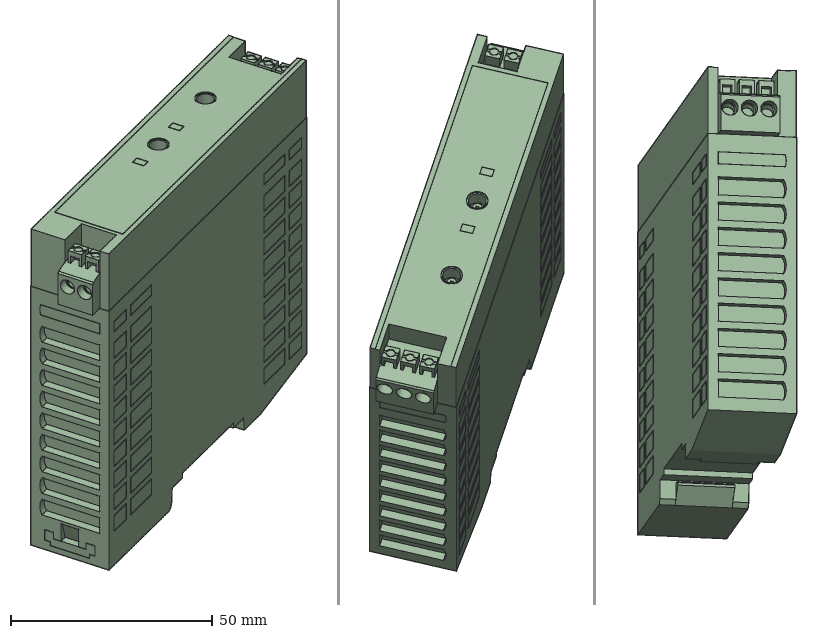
import cadquery as cq
import math

overall_length = 106.0
case_width = 22.5
case_length = 99.0
case_height = 95.0
half_width = case_width / 2
half_length = case_length / 2
seam_z = 77.8
cap_step = 0.1
shallow = 0.1

rail_half_opening = 17.8
rail_undercut = 0.3
rail_center_half = 12.7
rail_step_z = 6.0
rail_roof_z = 7.5
rear_foot_z = 2.2
rear_foot_start_y = 26.4
rear_corner_z = 6.8
front_foot_y = -19.2
front_wall_foot_z = 1.3
hook_root_y = 19.2
hook_top_z = 5.3
front_hook_nose_y = 15.4
front_hook_nose_z = (4.2, 4.9)
front_hook_crest_y = 16.1
rear_hook_base_y = 16.1
rear_hook_tip = (15.3, 4.5)
hook_half_width = 7.2

vent_half_width = 8.6
vent_end_radius = 4.2
vent_depth = 2.2
vent_height = 4.7
vent_count = 9
lowest_vent_z = 12.5
highest_vent_z = 64.5
vent_pitch = (highest_vent_z - lowest_vent_z) / (vent_count - 1)
top_vent_z = 71.7
top_vent_height = 3.1
side_vent_columns = ((28.1, 38.5), (40.7, 46.9))

front_terminals = 2
rear_terminals = 3
rear_terminal_span = 9.9
terminal_pitch = rear_terminal_span / (rear_terminals - 1)
slot_right_x = 8.6
slot_width_per_terminal = 5.0
terminal_edge = 2.3
slot_inner_y = 41.1
block_top_z = 88.4
block_front_z = 87.5
block_chamfer = 0.4
clamp_width = 3.8
clamp_back_y = 45.7
clamp_front_y = 49.3
clamp_top_z = 92.0
clamp_mouth_width = 2.4
clamp_mouth_top_z = 90.5
clamp_mouth_depth = 2.1
screw_radius = 1.1
screw_slot_width = 0.7
screw_depth = 0.3
wire_hole_z = 83.8
wire_hole_radius = 2.0
wire_hole_depth = 2.6
wire_seat_radius = 1.6
wire_seat_depth = 1.0
wire_seat_tilt = 25.0

panel_half_width = 9.8
panel_front_y = -40.0
control_x = -2.4
knob_ys = (22.6, -1.0)
window_ys = (8.0, -10.0)
window_width = 3.2
window_length = 2.1
knob_radius = 2.2
knob_mouth_radius = 2.6
knob_mouth_depth = 0.3
knob_depth = 4.2
trimmer_radius = 1.3
trimmer_height = 1.1
trimmer_socket = 0.7

latch_bottom_z = 1.7
latch_ear_z = 2.9
latch_top_z = 5.9
latch_bar_half_width = 5.6
latch_notch_half_width = 4.7
latch_pocket_half_width = 2.5
latch_pocket_bottom_z = 4.0
latch_pocket_top_z = 9.3
latch_pocket_top_depth = 0.5
latch_pocket_bottom_depth = 2.1


def box(x0, x1, y0, y1, z0, z1):
    return cq.Workplane("XY").box(x1 - x0, y1 - y0, z1 - z0, centered=False).translate((x0, y0, z0))


def side_prism(points, x0, x1):
    """Prism along X from an outline of (y, z) points."""
    return cq.Workplane("YZ").workplane(offset=x0).polyline(points).close().extrude(x1 - x0)


def mirrored_y(solid):
    return solid.mirror("XZ")


def make_case():
    lower = side_prism(
        [
            (-half_length, seam_z),
            (-half_length, 0),
            (front_foot_y, 0),
            (-rail_half_opening - rail_undercut, front_wall_foot_z),
            (-rail_half_opening, rail_step_z),
            (-rail_center_half, rail_step_z),
            (-rail_center_half, rail_roof_z),
            (rail_center_half, rail_roof_z),
            (rail_center_half, rail_step_z),
            (rail_half_opening, rail_step_z),
            (rail_half_opening + rail_undercut, rear_foot_z),
            (rear_foot_start_y, rear_foot_z),
            (half_length, rear_corner_z),
            (half_length, seam_z),
        ],
        -half_width,
        half_width,
    )
    cap_x = half_width - cap_step
    cap_y = half_length - cap_step
    return lower.union(box(-cap_x, cap_x, -cap_y, cap_y, seam_z, case_height))


def make_rail_hooks():
    nose_low_z, nose_high_z = front_hook_nose_z
    front_hook = side_prism(
        [
            (front_foot_y, 0),
            (-front_hook_nose_y, nose_low_z),
            (-front_hook_nose_y, nose_high_z),
            (-front_hook_crest_y, hook_top_z),
            (-hook_root_y, hook_top_z),
        ],
        -hook_half_width,
        hook_half_width,
    )
    rear_hook = side_prism(
        [
            (hook_root_y, rear_foot_z),
            (rear_hook_base_y, rear_foot_z),
            rear_hook_tip,
            (rail_half_opening, hook_top_z),
            (hook_root_y, hook_top_z),
        ],
        -hook_half_width,
        hook_half_width,
    )
    return front_hook.union(rear_hook)


def make_end_vent(z, height, depth):
    """Vent pocket in the front face; the end near -X is bowed outward."""
    bow = vent_end_radius - math.sqrt(vent_end_radius**2 - (height / 2) ** 2)
    left = -vent_half_width
    return (
        cq.Workplane("XZ", origin=(0, -half_length, z))
        .moveTo(left + bow, -height / 2)
        .lineTo(vent_half_width, -height / 2)
        .lineTo(vent_half_width, height / 2)
        .lineTo(left + bow, height / 2)
        .threePointArc((left, 0), (left + bow, -height / 2))
        .close()
        .extrude(-depth)
    )


def cut_vents(body):
    rows = [(lowest_vent_z + i * vent_pitch, vent_height, vent_depth) for i in range(vent_count)]
    rows.append((top_vent_z, top_vent_height, shallow))
    pockets = cq.Workplane("XY")
    for z, height, depth in rows:
        end_vent = make_end_vent(z, height, depth)
        pockets = pockets.add(end_vent).add(mirrored_y(end_vent))
        for y0, y1 in side_vent_columns:
            for x0 in (-half_width, half_width - shallow):
                grille = box(x0, x0 + shallow, y0, y1, z - height / 2, z + height / 2)
                pockets = pockets.add(grille).add(mirrored_y(grille))
    return body.cut(pockets)


def cut_latch(body):
    face_y = -half_length
    bar = latch_bar_half_width
    ear = hook_half_width
    notch = latch_notch_half_width
    outline = (
        cq.Workplane("XZ", origin=(0, face_y, 0))
        .polyline(
            [
                (-bar, latch_bottom_z),
                (bar, latch_bottom_z),
                (bar, latch_ear_z),
                (ear, latch_ear_z),
                (ear, latch_top_z),
                (notch, latch_top_z),
                (notch, latch_pocket_bottom_z),
                (-notch, latch_pocket_bottom_z),
                (-notch, latch_top_z),
                (-ear, latch_top_z),
                (-ear, latch_ear_z),
                (-bar, latch_ear_z),
            ]
        )
        .close()
        .extrude(-shallow)
    )
    finger_pocket = side_prism(
        [
            (face_y, latch_pocket_bottom_z),
            (face_y + latch_pocket_bottom_depth, latch_pocket_bottom_z),
            (face_y + latch_pocket_top_depth, latch_pocket_top_z),
            (face_y, latch_pocket_top_z),
        ],
        -latch_pocket_half_width,
        latch_pocket_half_width,
    )
    return body.cut(outline).cut(finger_pocket)


def cut_top_panel(body):
    floor_z = case_height - shallow
    body = body.cut(
        box(-panel_half_width, panel_half_width, panel_front_y, half_length, floor_z, case_height)
    )
    for y in window_ys:
        window = cq.Workplane("XY", origin=(control_x, y, floor_z))
        body = body.cut(window.rect(window_width, window_length).extrude(-shallow))
    for y in knob_ys:
        face = cq.Workplane("XY", origin=(control_x, y, floor_z))
        well = face.circle(knob_radius).extrude(-knob_depth)
        mouth = face.circle(knob_mouth_radius).extrude(-knob_mouth_depth)
        base = cq.Workplane("XY", origin=(control_x, y, floor_z - knob_depth))
        trimmer = base.circle(trimmer_radius).rect(trimmer_socket, trimmer_socket).extrude(trimmer_height)
        body = body.cut(well.union(mouth)).union(trimmer)
    return body


def make_clamp(x):
    """Raised screw clamp with an open mouth toward -Y and a slotted screw on top."""
    clamp = box(
        x - clamp_width / 2, x + clamp_width / 2, -clamp_front_y, -clamp_back_y, block_top_z, clamp_top_z
    )
    mouth = box(
        x - clamp_mouth_width / 2,
        x + clamp_mouth_width / 2,
        -clamp_front_y,
        -clamp_front_y + clamp_mouth_depth,
        block_top_z,
        clamp_mouth_top_z,
    )
    screw = cq.Workplane("XY", origin=(x, -(clamp_front_y + clamp_back_y) / 2, clamp_top_z))
    recess = screw.circle(screw_radius).extrude(-screw_depth)
    slot = screw.rect(clamp_width, screw_slot_width).extrude(-screw_depth)
    return clamp.cut(mouth).cut(recess).cut(slot)


def make_wire_hole(x):
    """Straight wire entry ending in a narrower seat that dips downward going in."""
    face_y = -overall_length / 2
    seat_y = face_y + wire_hole_depth
    entry = (
        cq.Workplane("XZ", origin=(x, face_y, wire_hole_z))
        .circle(wire_hole_radius)
        .extrude(-wire_hole_depth)
    )
    seat = (
        cq.Workplane("XZ", origin=(x, seat_y, wire_hole_z))
        .circle(wire_seat_radius)
        .extrude(wire_seat_depth, both=True)
        .rotate((x, seat_y, wire_hole_z), (x + 1.1, seat_y, wire_hole_z), -wire_seat_tilt)
    )
    return entry.union(seat)


def add_terminals(body, count, at_rear):
    place = mirrored_y if at_rear else (lambda solid: solid)
    left_x = slot_right_x - count * slot_width_per_terminal
    face_y = -overall_length / 2
    slot = box(left_x, slot_right_x, -half_length, -slot_inner_y, block_top_z, case_height)
    block = side_prism(
        [
            (-slot_inner_y, seam_z),
            (face_y, seam_z),
            (face_y, block_front_z - block_chamfer),
            (face_y + block_chamfer, block_front_z),
            (-half_length, block_top_z),
            (-slot_inner_y, block_top_z),
        ],
        left_x,
        slot_right_x,
    )
    body = body.cut(place(slot)).union(place(block))
    for i in range(count):
        x = slot_right_x - terminal_edge - terminal_pitch * i
        body = body.union(place(make_clamp(x))).cut(place(make_wire_hole(x)))
    return body


result = make_case().union(make_rail_hooks())
result = cut_top_panel(result)
result = add_terminals(result, front_terminals, at_rear=False)
result = add_terminals(result, rear_terminals, at_rear=True)
result = cut_latch(result)
result = cut_vents(result)